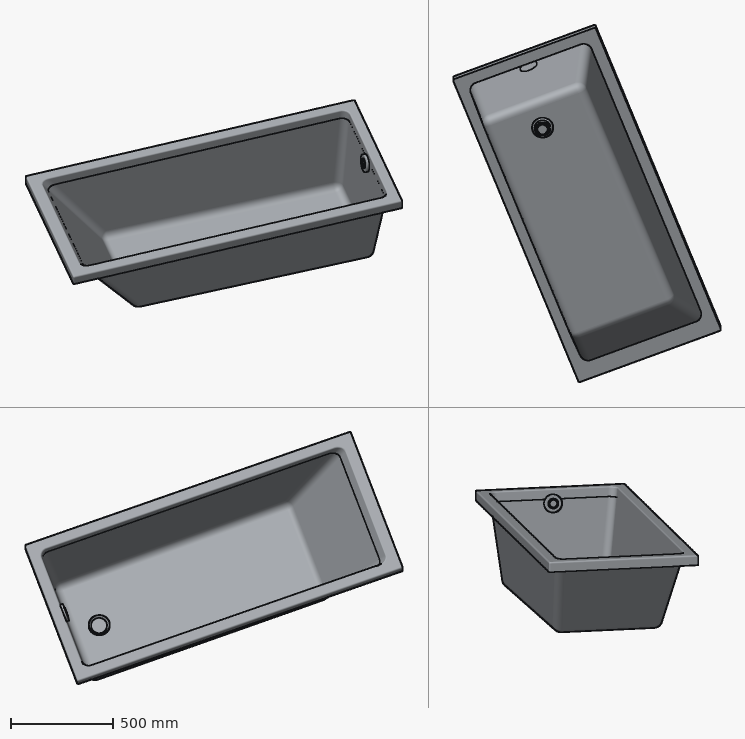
import cadquery as cq
import math

rim_width = 750.24
rim_length = 1700.11
rim_height = 50.0
rim_edge_radius = 8.0

wall = 5.0
mouth_width = 648.0
mouth_back = 800.0
mouth_front = -797.0
wall_lean = 7.0
backrest_lean = 35.0
floor_slope = 1.25
floor_depth_at_back = 465.0
basin_outer_radius = 43.0
lip_radius = 7.0

drain_y = 600.0
dish_diameter = 101.0
dish_depth = 17.0
dish_bottom_diameter = 63.0
drain_head_diameter = 81.71
drain_head_edge_radius = 1.0
spigot_diameter = 51.75
overall_height = 493.54

overflow_depth = 70.0
plate_diameter = 89.0
plate_thickness = 14.0
plate_edge_radius = 1.0
socket_diameter = 49.12
socket_depth = 8.0
knob_diameter = 46.01
knob_face_diameter = 43.52
knob_length = 11.0
knob_dish_diameter = 38.51
knob_dish_floor_diameter = 36.84
knob_dish_depth = 3.0


def slope(angle):
    return math.tan(math.radians(angle))


def slant(distance, angle):
    """Distance along an axis that gives this perpendicular distance from a leaning face."""
    return distance / math.cos(math.radians(angle))


def floor_z(y, inset=0.0):
    """Height of the floor, `inset` above its underside."""
    back_y = mouth_back - floor_depth_at_back * slope(wall_lean)
    underside = -floor_depth_at_back + (back_y - y) * slope(floor_slope)
    return underside + slant(inset, floor_slope)


def end_floor_y(mouth_y, lean, inset):
    """Y where an end wall, at mouth_y for Z = 0, meets the floor."""
    fall = slope(floor_slope)
    return (mouth_y + floor_z(0, inset) * lean) / (1 + lean * fall)


def basin(inset):
    """Basin block, with every wall and the floor moved inwards by `inset`."""
    back_y = mouth_back - slant(inset, wall_lean)
    front_y = mouth_front + slant(inset, backrest_lean)
    back_floor_y = end_floor_y(back_y, slope(wall_lean), inset)
    front_floor_y = end_floor_y(front_y, -slope(backrest_lean), inset)
    side_profile = (
        cq.Workplane("YZ")
        .polyline([
            (back_y, 0),
            (back_floor_y, floor_z(back_floor_y, inset)),
            (front_floor_y, floor_z(front_floor_y, inset)),
            (front_y, 0),
        ])
        .close()
        .extrude(rim_width / 2, both=True)
    )
    half_mouth = mouth_width / 2 - slant(inset, wall_lean)
    half_bottom = half_mouth - overall_height * slope(wall_lean)
    end_profile = (
        cq.Workplane("XZ")
        .polyline([
            (-half_mouth, 0),
            (half_mouth, 0),
            (half_bottom, -overall_height),
            (-half_bottom, -overall_height),
        ])
        .close()
        .extrude(rim_length / 2, both=True)
    )
    block = side_profile.intersect(end_profile)
    all_but_mouth = cq.selectors.InverseSelector(
        cq.selectors.BoxSelector((-rim_width, -rim_length, -1), (rim_width, rim_length, 1))
    )
    return block.edges(all_but_mouth).fillet(basin_outer_radius - inset)


def revolved(points):
    """Solid of revolution about Z from (radius, z) points, closed along the axis."""
    return (
        cq.Workplane("XZ")
        .polyline([(0, points[0][1]), *points, (0, points[-1][1])])
        .close()
        .revolve(360, (0, 0), (0, 1))
    )


dish_top_z = floor_z(drain_y, wall)
dish_bottom_z = dish_top_z - dish_depth
dish_bottom_radius = dish_bottom_diameter / 2
dish_flare = (dish_diameter - dish_bottom_diameter) / 2 / dish_depth


def dish(bottom_radius, bottom_z, top_z):
    """Cone, parallel to the drain dish wall, between two heights."""
    top_radius = bottom_radius + dish_flare * (top_z - bottom_z)
    return revolved([(bottom_radius, bottom_z), (top_radius, top_z)]).translate((0, drain_y, 0))


rim = (
    cq.Workplane("XY")
    .box(rim_width, rim_length, rim_height, centered=(True, True, False))
    .translate((0, 0, -rim_height))
    .edges("|Z or >Z")
    .fillet(rim_edge_radius)
)
spigot = (
    cq.Workplane("XY", origin=(0, drain_y, -overall_height))
    .circle(spigot_diameter / 2)
    .extrude(overall_height + dish_bottom_z)
)
dish_shell_bottom_radius = dish_bottom_radius + wall * (math.hypot(1, dish_flare) - dish_flare)
dish_shell = dish(dish_shell_bottom_radius, dish_bottom_z - wall, dish_top_z - wall / 2)
dish_recess = dish(dish_bottom_radius, dish_bottom_z, dish_top_z + wall)
tub = rim.union(basin(0)).union(dish_shell).cut(basin(wall))
mouth_edges = cq.selectors.BoxSelector(
    (-mouth_width / 2 - 1, mouth_front - 1, -1), (mouth_width / 2 + 1, mouth_back + 1, 1)
)
tub = tub.faces(">Z").edges(mouth_edges).fillet(lip_radius)
tub = tub.cut(dish_recess).cut(spigot)

head_radius = drain_head_diameter / 2
head_top_z = dish_bottom_z + (head_radius - dish_bottom_radius) / dish_flare
drain = (
    revolved([(dish_bottom_radius, dish_bottom_z), (head_radius, head_top_z)])
    .faces(">Z").edges().fillet(drain_head_edge_radius)
    .translate((0, drain_y, 0))
    .union(spigot)
)


def on_back_wall(part):
    """Turn +Z to the inward normal of the drain end wall and place it there."""
    wall_y = mouth_back - slant(wall, wall_lean) - overflow_depth * slope(wall_lean)
    turned = part.rotate((0, 0, 0), (1, 0, 0), 90 - wall_lean)
    return turned.translate((0, wall_y, -overflow_depth))


overflow_plate = on_back_wall(
    cq.Workplane("XY")
    .circle(plate_diameter / 2)
    .extrude(plate_thickness)
    .faces(">Z").edges().fillet(plate_edge_radius)
    .faces(">Z").workplane()
    .hole(socket_diameter, socket_depth)
)

knob_base_z = plate_thickness - socket_depth
knob_face_z = knob_base_z + knob_length
knob_chamfer = (knob_diameter - knob_face_diameter) / 2
overflow_knob = on_back_wall(
    revolved([
        (knob_diameter / 2, knob_base_z),
        (knob_diameter / 2, knob_face_z - knob_chamfer),
        (knob_face_diameter / 2, knob_face_z),
        (knob_dish_diameter / 2, knob_face_z),
        (knob_dish_floor_diameter / 2, knob_face_z - knob_dish_depth),
    ])
)

result = cq.Compound.makeCompound(
    [tub.val(), drain.val(), overflow_plate.val(), overflow_knob.val()]
)